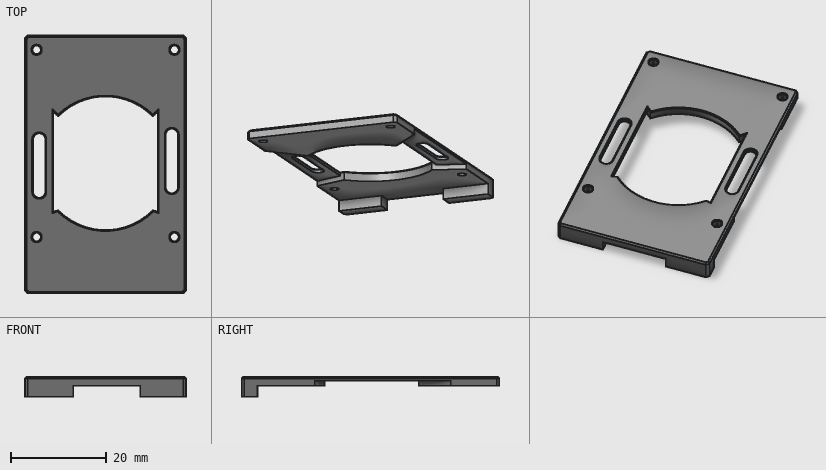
import cadquery as cq

WIDTH = 33.9
LENGTH = 54.25
HEIGHT = 4.2
PLATE_THICKNESS = 1.9
CORNER_CHAMFER = 0.6
RIM_CHAMFER = 0.4
OPENING_CHAMFER = 0.2

LIP_DEPTH = 3.35
GAP_WIDTH = 14.05
GAP_CENTER_X = 0.25

WEB_THICKNESS = 0.8
RELIEF_FRONT_SIDE_Y = 15.35
RELIEF_FRONT_INNER_Y = 17.45
RELIEF_REAR_INNER_Y = 37.2
RELIEF_REAR_SIDE_Y = 44.05
RELIEF_INNER_X = 9.95

BORE_RADIUS = 14.05
BORE_CENTER_Y = 27.35
WINDOW_WIDTH = 21.95

HOLE_DIAMETER = 1.8
HOLE_X = 14.5
HOLE_FRONT_Y = 11.8
HOLE_REAR_Y = 51.2
SLOT_WIDTH = 2.6
SLOT_LENGTH = 13.55
SLOT_X = 13.95
LEFT_SLOT_Y = 26.85
RIGHT_SLOT_Y = 27.85


def block(width, y_start, y_end, z_bottom, z_top, center_x=0.0):
    """Box centred on center_x in X, between the given Y and Z limits."""
    return (
        cq.Workplane("XY", origin=(center_x, (y_start + y_end) / 2, z_bottom))
        .box(width, y_end - y_start, z_top - z_bottom, centered=(True, True, False))
    )


def relief_prism(z_bottom, z_top):
    """Full-width prism whose front and rear edges slope inward toward the bore."""
    side_x = WIDTH / 2
    outline = [
        (-side_x, RELIEF_FRONT_SIDE_Y),
        (-RELIEF_INNER_X, RELIEF_FRONT_INNER_Y),
        (RELIEF_INNER_X, RELIEF_FRONT_INNER_Y),
        (side_x, RELIEF_FRONT_SIDE_Y),
        (side_x, RELIEF_REAR_SIDE_Y),
        (RELIEF_INNER_X, RELIEF_REAR_INNER_Y),
        (-RELIEF_INNER_X, RELIEF_REAR_INNER_Y),
        (-side_x, RELIEF_REAR_SIDE_Y),
    ]
    return cq.Workplane("XY", origin=(0, 0, z_bottom)).polyline(outline).close().extrude(z_top - z_bottom)


def make_body():
    """Plate and lip with chamfered corners and top rim."""
    body = block(WIDTH, 0, LENGTH, -HEIGHT, 0)
    body = body.edges("|Z").chamfer(CORNER_CHAMFER)
    body = body.faces(">Z").edges().chamfer(RIM_CHAMFER)
    body = body.cut(block(WIDTH, LIP_DEPTH, LENGTH, -HEIGHT, -PLATE_THICKNESS))
    body = body.cut(block(GAP_WIDTH, 0, LIP_DEPTH, -HEIGHT, -PLATE_THICKNESS, GAP_CENTER_X))
    return body.cut(relief_prism(-PLATE_THICKNESS, -WEB_THICKNESS))


def central_opening():
    """Bore joined with the window, which ends at the sloped relief edges."""
    bore = (
        cq.Workplane("XY", origin=(0, BORE_CENTER_Y, -HEIGHT))
        .circle(BORE_RADIUS)
        .extrude(HEIGHT)
    )
    window_span = block(WINDOW_WIDTH, 0, LENGTH, -HEIGHT, 0)
    return bore.union(relief_prism(-HEIGHT, 0)).intersect(window_span)


def screw_holes():
    centers = [(x, y) for x in (-HOLE_X, HOLE_X) for y in (HOLE_FRONT_Y, HOLE_REAR_Y)]
    return (
        cq.Workplane("XY", origin=(0, 0, -HEIGHT))
        .pushPoints(centers)
        .circle(HOLE_DIAMETER / 2)
        .extrude(HEIGHT)
    )


def side_slots():
    return (
        cq.Workplane("XY", origin=(0, 0, -HEIGHT))
        .pushPoints([(-SLOT_X, LEFT_SLOT_Y), (SLOT_X, RIGHT_SLOT_Y)])
        .slot2D(SLOT_LENGTH, SLOT_WIDTH, 90)
        .extrude(HEIGHT)
    )


body = make_body().cut(central_opening()).cut(screw_holes()).cut(side_slots())

opening_edges = [edge for wire in body.faces(">Z").val().innerWires() for edge in wire.Edges()]
result = body.newObject(opening_edges).chamfer(OPENING_CHAMFER)